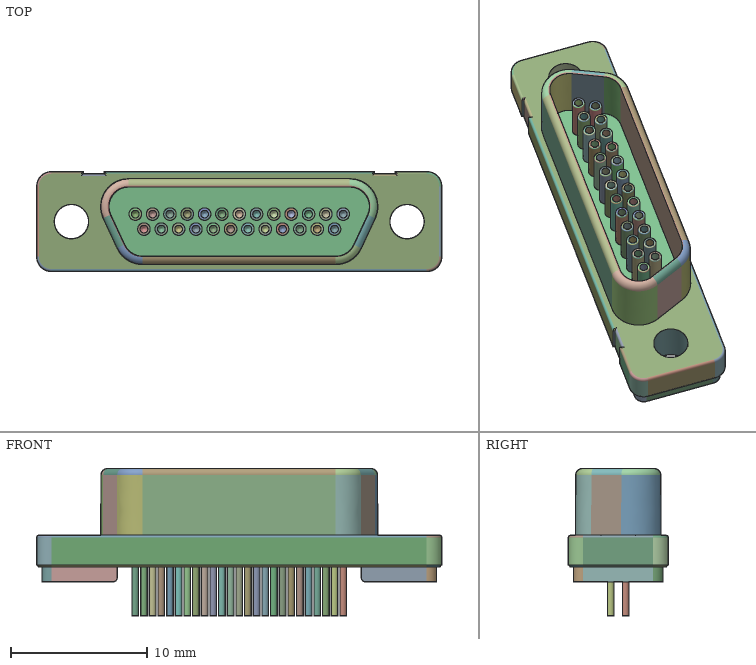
import cadquery as cq
import math


flange_length = 29.7
flange_width = 7.35
flange_height = 2.35
flange_corner = 1.1
flange_edge = 0.18

mount_hole_diameter = 2.5
mount_hole_x = 12.3

notch_length = 1.5
notch_depth = 0.15
notch_x = 10.65

foot_height = 1.07
foot_inset = 0.4
foot_length = 5.52
foot_corner = flange_corner - foot_inset
foot_fillet = 0.3

shell_height = 4.9
shell_width = 6.3
shell_mid_length = 19.72
shell_side_angle = 25
shell_corner = 2.05
shell_wall = 0.6
shell_draft = 0.3
shell_rim_fillet = 0.5

row_spacing = 1.1
back_row_length = 15.25
back_row_count = 13
front_row_count = back_row_count - 1
contact_pitch = back_row_length / (back_row_count - 1)
socket_diameter = 0.92
socket_height = 3.62
socket_rim_fillet = 0.05
bore_diameter = 0.55
bore_depth = 0.9
bore_tip_angle = 90
pin_diameter = 0.5
pin_length = 3.55


def rounded_plate(length, width, height, corner):
    plate = cq.Workplane("XY").box(length, width, height, centered=(True, True, False))
    return plate.edges("|Z").fillet(corner)


def make_flange():
    flange = rounded_plate(flange_length, flange_width, flange_height, flange_corner)
    notches = (
        cq.Workplane("XY")
        .pushPoints([(-notch_x, flange_width / 2), (notch_x, flange_width / 2)])
        .rect(notch_length, 2 * notch_depth)
        .extrude(flange_height)
    )
    flange = flange.cut(notches)
    return flange.faces(">Z").edges().fillet(flange_edge).faces("<Z").edges().chamfer(flange_edge)


def make_feet():
    base_length = flange_length - 2 * foot_inset
    base_width = flange_width - 2 * foot_inset
    gap_length = base_length - 2 * foot_length
    base = rounded_plate(base_length, base_width, foot_height, foot_corner)
    gap = cq.Workplane("XY").box(gap_length, base_width, foot_height, centered=(True, True, False))
    feet = base.cut(gap)
    inner_edges = cq.selectors.BoxSelector(
        (-gap_length / 2 - foot_fillet, -foot_fillet, -foot_fillet),
        (gap_length / 2 + foot_fillet, foot_fillet, foot_fillet),
    )
    return feet.edges(inner_edges).fillet(foot_fillet).translate((0, 0, -foot_height))


def d_prism(inset):
    """Drafted D-shaped block standing on the flange, moved inward by inset."""
    slope = math.radians(shell_side_angle)
    half_width = shell_width / 2 - inset
    mid_half_length = shell_mid_length / 2 - inset / math.cos(slope)
    spread = half_width * math.tan(slope)
    back = mid_half_length + spread
    front = mid_half_length - spread
    outline = [(-back, half_width), (back, half_width), (front, -half_width), (-front, -half_width)]
    corner = shell_corner - inset
    sketch = cq.Sketch().polygon(outline + [outline[0]]).vertices().fillet(corner)
    return (
        cq.Workplane("XY", origin=(0, 0, flange_height))
        .placeSketch(sketch)
        .extrude(shell_height, taper=shell_draft)
    )


def make_shell():
    outside = d_prism(0).faces(">Z").edges().fillet(shell_rim_fillet)
    return outside.cut(d_prism(shell_wall))


def row_points(count, y):
    first_x = -(count - 1) * contact_pitch / 2
    return [(first_x + i * contact_pitch, y) for i in range(count)]


def make_contact():
    socket_radius = socket_diameter / 2
    bore_radius = bore_diameter / 2
    pin_radius = pin_diameter / 2
    top = flange_height + socket_height
    bore_floor = top - bore_depth
    tip = bore_floor - bore_radius / math.tan(math.radians(bore_tip_angle / 2))
    half_section = [
        (0, -pin_length),
        (pin_radius, -pin_length),
        (pin_radius, flange_height),
        (socket_radius, flange_height),
        (socket_radius, top),
        (bore_radius, top),
        (bore_radius, bore_floor),
        (0, tip),
    ]
    contact = cq.Workplane("XZ").polyline(half_section).close().revolve(360, (0, 0), (0, 1))
    outer_rim = cq.selectors.RadiusNthSelector(-1)
    return contact.faces(">Z").edges(outer_rim).fillet(socket_rim_fillet)


body = make_flange().union(make_feet()).union(make_shell())

contact = make_contact()
contact_points = row_points(back_row_count, row_spacing / 2) + row_points(front_row_count, -row_spacing / 2)
for x, y in contact_points:
    body = body.union(contact.translate((x, y, 0)))

mount_holes = (
    cq.Workplane("XY", origin=(0, 0, -foot_height))
    .pushPoints([(-mount_hole_x, 0), (mount_hole_x, 0)])
    .circle(mount_hole_diameter / 2)
    .extrude(foot_height + flange_height)
)
result = body.cut(mount_holes)